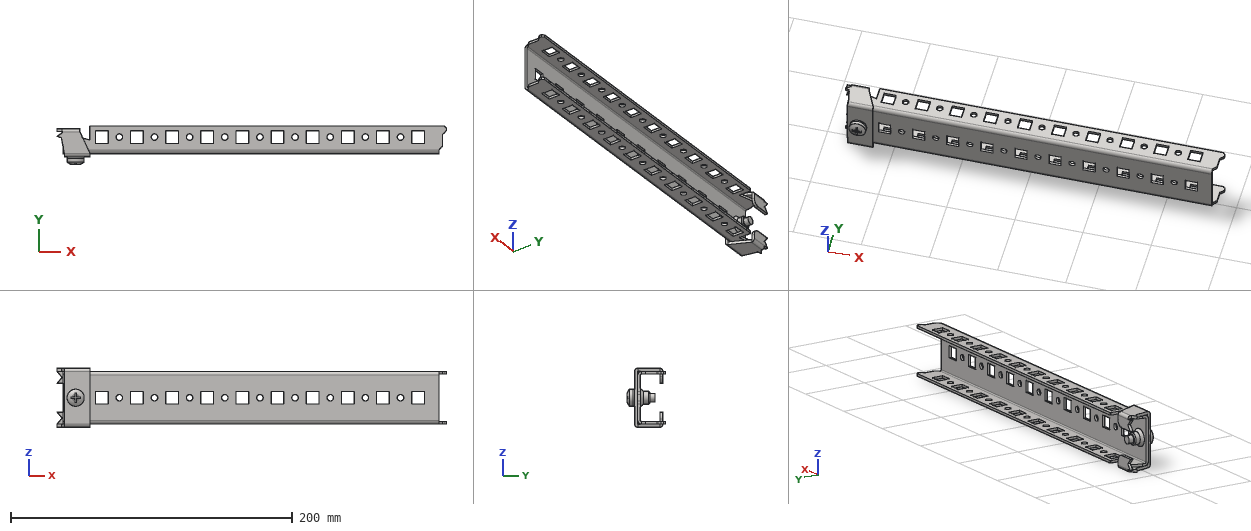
import cadquery as cq

overall_length = 277.0
left_end = -overall_length / 2
right_end = overall_length / 2

bracket_height = 42.0
bracket_sheet = 2.25
bracket_bend = 2.38

rail_height = bracket_height - 2 * bracket_sheet
rail_depth = 20.0
rail_back = 13.9
rail_front = rail_back - rail_depth
rail_sheet = 2.0
rail_bend = 2.8
rail_web_left = -134.0
rail_web_right = 133.3
rail_inside = rail_front + rail_sheet

tongue_low = -1.0
tongue_tip = (-131.0, 8.0)
flange_left = -115.3
flange_left_low = 4.0
flange_right = 135.8
flange_right_low = -0.5
tab_root = 7.8
tab_shoulder = (137.1, 9.0)
tab_side_low = 10.5
tab_chamfer = 1.7
corner_break = 0.5

square_count = 10
square_span = 225.0
hole_pitch = square_span / (square_count - 1)
square_size = 9.0
round_diameter = 4.5
first_square_x = -106.7
flange_hole_y = 5.8

bracket_front = rail_front - bracket_sheet
bracket_back = 12.0
bracket_web_left = -133.3
bracket_web_right = -115.0
lip_end_z = 10.3
lip_right = -122.2
lip_corner = 5.0
tooth_root = -135.0
spike_y = 6.5
spike_top = 9.0
spike_base = (-135.5, 5.3)
bracket_inner_z = rail_height / 2
lip_front = bracket_back - bracket_sheet
bend_start_z = bracket_height / 2 - bracket_bend
bend_start_y = bracket_front + bracket_bend

screw_x = -125.2
shank_radius = 3.0
head_radius = 6.0
head_flat_radius = 2.5
washer_radius = 6.0
washer_thickness = 1.0
screw_front = -13.9
crown_height = 2.0
crown_mid_radius = 4.7
crown_mid_drop = 0.8
screw_back = 6.5
recess_reach = 3.3
recess_width = 1.0
recess_depth = 2.0
recess_core = 2.0
recess_core_taper = 35
nut_radius = 4.7
nut_flange_radius = 6.6
nut_flange_height = 2.2
nut_back = 2.5
nut_chamfer = 0.8


def rail_channel():
    """U channel along X, open towards +Y, with rounded bends."""
    length = right_end - rail_web_left
    middle = ((rail_web_left + right_end) / 2, (rail_front + rail_back) / 2, 0)
    outer = (
        cq.Workplane("XY")
        .box(length, rail_depth, rail_height)
        .edges("|X and <Y")
        .fillet(rail_bend)
    )
    inner = (
        cq.Workplane("XY")
        .box(length, rail_depth, rail_height - 2 * rail_sheet)
        .edges("|X and <Y")
        .fillet(rail_bend - rail_sheet)
        .translate((0, rail_sheet, 0))
    )
    return outer.cut(inner).translate(middle)


def plan_prism(points):
    """Prism over an XY outline, tall enough to span every body."""
    return cq.Workplane("XY").polyline(points).close().extrude(bracket_height, both=True)


def y_hole(x, radius):
    """Cylinder along the whole Y depth at Z = 0."""
    return cq.Workplane("XZ").center(x, 0).circle(radius).extrude(2 * rail_back, both=True)


def rail_outline():
    """Plan outline of the rail, with its tongue, notch and tab."""
    return plan_prism([
        (rail_web_left, rail_front),
        (rail_web_left, tongue_low),
        tongue_tip,
        (flange_left, flange_left_low),
        (flange_left, rail_back - corner_break),
        (flange_left + corner_break, rail_back),
        (right_end - tab_chamfer, rail_back),
        (right_end, rail_back - tab_chamfer),
        (right_end, tab_side_low),
        tab_shoulder,
        (flange_right, tab_root),
        (flange_right, flange_right_low),
        (rail_web_right, rail_front + rail_bend),
        (rail_web_right, rail_front),
    ])


def punched_holes():
    """Squares and rounds alternate along the web and along both flanges."""
    squares = [(first_square_x + i * hole_pitch, 0) for i in range(square_count)]
    rounds = [(x + hole_pitch / 2, 0) for x, _ in squares[:-1]]
    web = (
        cq.Workplane("XZ", origin=(0, rail_front + rail_bend, 0))
        .pushPoints(squares).rect(square_size, square_size)
        .pushPoints(rounds).circle(round_diameter / 2)
        .extrude(2 * rail_bend)
    )
    flanges = (
        cq.Workplane("XY", origin=(0, flange_hole_y, 0))
        .pushPoints(squares).rect(square_size, square_size)
        .pushPoints(rounds).circle(round_diameter / 2)
        .extrude(rail_height, both=True)
    )
    return web, flanges


def make_rail():
    """Perforated channel with shaped ends and a hole for the screw."""
    body = rail_channel().intersect(rail_outline())
    for holes in punched_holes():
        body = body.cut(holes)
    return body.cut(y_hole(screw_x, shank_radius))


def bracket_section():
    """C section with two lips, extruded over the whole width of the bracket."""
    width = bracket_web_right - left_end
    depth = bracket_back - bracket_front
    mid_x = (left_end + bracket_web_right) / 2
    mid_y = (bracket_front + bracket_back) / 2
    outer = cq.Workplane("XY").box(width, depth, bracket_height).edges("|X").fillet(bracket_bend)
    inner = (
        cq.Workplane("XY")
        .box(width, depth - 2 * bracket_sheet, 2 * bracket_inner_z)
        .edges("|X")
        .fillet(bracket_bend - bracket_sheet)
    )
    mouth = cq.Workplane("XY").box(width, depth, 2 * lip_end_z).translate((0, depth / 2, 0))
    return outer.cut(inner).cut(mouth).translate((mid_x, mid_y, 0))


def round_lip_corners(body):
    """Round the free right-hand corner of each lip."""
    lip_middle = lip_front + bracket_sheet / 2
    corners = [(lip_right, lip_middle, side * lip_end_z) for side in (1, -1)]
    for corner in corners:
        body = body.edges(cq.selectors.NearestToPointSelector(corner)).fillet(lip_corner)
    return body


def bracket_outline():
    """Plan outline of the bracket, with the flange spike and the leaning right side."""
    return plan_prism([
        (bracket_web_left, bracket_front),
        (bracket_web_left, bend_start_y),
        spike_base,
        (left_end, spike_y),
        (tooth_root, spike_top),
        (tooth_root, lip_front),
        (left_end, lip_front),
        (left_end, bracket_back),
        (lip_right, bracket_back),
        (lip_right, lip_front),
        (bracket_web_right, bend_start_y),
        (bracket_web_right, bracket_front),
    ])


def lip_cuts(side):
    """Tooth notch and bend trim at the left of one lip (+1 top, -1 bottom)."""
    plane = cq.Workplane("XZ", origin=(0, bracket_back, 0))
    lip_depth = bracket_back - spike_top
    notch = (
        plane.moveTo(left_end, side * lip_end_z)
        .lineTo(tooth_root, side * (lip_end_z + bend_start_z) / 2)
        .lineTo(left_end, side * bend_start_z)
        .close()
        .extrude(lip_depth)
    )
    trim = (
        plane.moveTo(left_end, side * bend_start_z)
        .lineTo(tooth_root, side * bend_start_z)
        .lineTo(tooth_root, side * bracket_height / 2)
        .lineTo(left_end, side * bracket_height / 2)
        .close()
        .extrude(lip_depth)
    )
    return [notch, trim]


def make_bracket():
    """Toothed clip around the rail, with a hole for the screw."""
    body = round_lip_corners(bracket_section().intersect(bracket_outline()))
    for side in (1, -1):
        for cut in lip_cuts(side):
            body = body.cut(cut)
    return body.cut(y_hole(screw_x, shank_radius))


def turned(points):
    """Revolve a (radius, y) half profile about the screw axis."""
    return cq.Workplane("XY", origin=(screw_x, 0, 0)).polyline(points).close().revolve(360, (0, 0), (0, 1))


def make_washer():
    """Plain washer between the screw head and the bracket."""
    face = bracket_front - washer_thickness
    return turned([
        (shank_radius, face),
        (washer_radius, face),
        (washer_radius, bracket_front),
        (shank_radius, bracket_front),
    ])


def make_screw():
    """Pan head screw with a crowned head and a cross recess."""
    seat = bracket_front - washer_thickness
    rim = screw_front + crown_height
    crown_mid = (crown_mid_radius, screw_front + crown_mid_drop)
    body = (
        cq.Workplane("XY", origin=(screw_x, 0, 0))
        .moveTo(0, screw_front)
        .lineTo(head_flat_radius, screw_front)
        .threePointArc(crown_mid, (head_radius, rim))
        .lineTo(head_radius, seat)
        .lineTo(shank_radius, seat)
        .lineTo(shank_radius, screw_back)
        .lineTo(0, screw_back)
        .close()
        .revolve(360, (0, 0), (0, 1))
    )
    for length, width in ((2 * recess_reach, recess_width), (recess_width, 2 * recess_reach)):
        slot = (
            cq.Workplane("XZ", origin=(screw_x, screw_front, 0))
            .rect(length, width)
            .extrude(-recess_depth)
        )
        body = body.cut(slot)
    core = (
        cq.Workplane("XZ", origin=(screw_x, screw_front, 0))
        .polygon(4, 2 * recess_core)
        .extrude(-recess_depth, taper=recess_core_taper)
    )
    return body.cut(core)


def make_nut():
    """Round nut with a conical flange seated on the rail web."""
    return turned([
        (shank_radius, rail_inside),
        (nut_flange_radius, rail_inside),
        (nut_radius, rail_inside + nut_flange_height),
        (nut_radius, nut_back - nut_chamfer),
        (nut_radius - nut_chamfer, nut_back),
        (shank_radius, nut_back),
    ])


rail = make_rail()
bracket = make_bracket()
washer = make_washer()
screw = make_screw()
nut = make_nut()

bodies = [rail, bracket, washer, screw, nut]
result = cq.Compound.makeCompound([body.solids().val() for body in bodies])